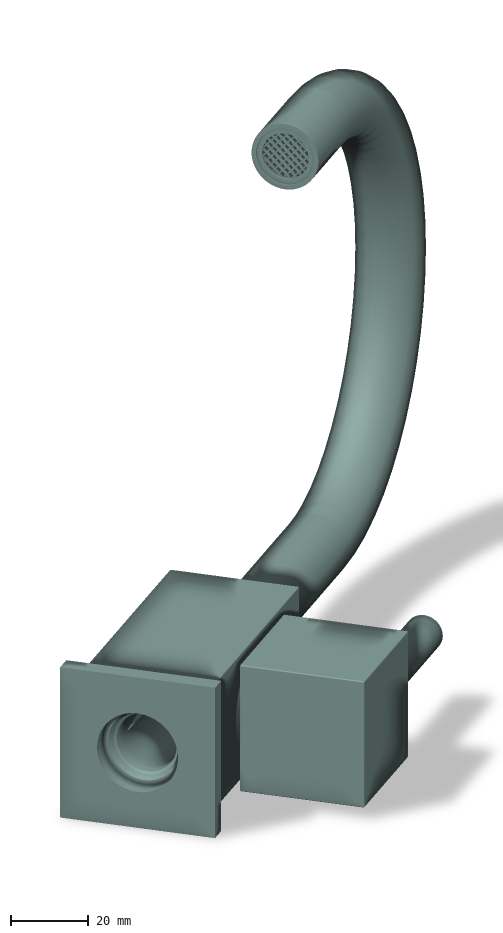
import cadquery as cq
import math

plate_side = 42.0
plate_thickness = 4.9
column_side = 35.0
column_end = 77.3
edge_radius = 0.32

inlet_diameter = 22.0
seat_diameter = 19.5
throat_diameter = 17.7
bore_diameter = 16.3
seat_depth = 5.0
throat_depth = 6.8
bore_start = 7.4
bore_depth = 42.2

pin_diameter = 4.9
pin_length = 29.5
pin_offset = 7.2

dome_radius = 4.6
dome_height = 2.0
dome_y = 67.0

spout_diameter = 18.2
overall_length = 211.0
overall_height = 149.0
outlet_length = 25.0
bend_radius = (overall_height - plate_side / 2 - spout_diameter / 2) / 2
bend_y = overall_length - bend_radius - spout_diameter / 2
outlet_y = bend_y - outlet_length
outlet_z = 2 * bend_radius

ring_diameter = 15.6
ring_recess = 0.5
screen_diameter = 12.7
screen_recess = 1.0
screen_depth = 2.1
screen_pitch = 1.55
screen_hole = 1.16

overall_width = 74.5
knob_side = 35.3
knob_start = 19.8
knob_end = overall_width - plate_side / 2
knob_y = 41.2
collar_diameter = 28.3
handle_diameter = 10.1
handle_x = 44.5
handle_end = 97.7


def rod_along_y(diameter, start, end, x=0.0, z=0.0):
    """Round rod parallel to Y between two Y positions."""
    plane = cq.Plane(origin=(x, start, z), xDir=(1, 0, 0), normal=(0, 1, 0))
    return cq.Workplane(plane).circle(diameter / 2).extrude(end - start)


def square_along_y(side, start, end):
    """Square bar centred on the Y axis between two Y positions."""
    bar = cq.Workplane("XY").box(side, end - start, side)
    return bar.translate((0, (start + end) / 2, 0))


def make_spout():
    path = (
        cq.Workplane("YZ")
        .moveTo(column_end, 0)
        .lineTo(bend_y, 0)
        .threePointArc((bend_y + bend_radius, bend_radius), (bend_y, outlet_z))
        .lineTo(outlet_y, outlet_z)
    )
    plane = cq.Plane(origin=(0, column_end, 0), xDir=(1, 0, 0), normal=(0, 1, 0))
    return cq.Workplane(plane).circle(spout_diameter / 2).sweep(path)


def cut_screen(spout):
    """Recess the outlet and cut a diagonal grid of square holes, trimmed by the screen's rim."""
    screen_face = outlet_y + screen_recess
    ring_step = rod_along_y(ring_diameter, outlet_y, outlet_y + ring_recess, z=outlet_z)
    screen_step = rod_along_y(screen_diameter, outlet_y, screen_face, z=outlet_z)
    rim = rod_along_y(screen_diameter, screen_face, screen_face + screen_depth, z=outlet_z)
    count = 2 * math.ceil(screen_diameter / 2 / screen_pitch) + 1
    plane = cq.Plane(origin=(0, screen_face, outlet_z), xDir=(1, 0, 1), normal=(0, 1, 0))
    holes = (
        cq.Workplane(plane)
        .rarray(screen_pitch, screen_pitch, count, count)
        .rect(screen_hole, screen_hole)
        .extrude(screen_depth)
        .intersect(rim)
    )
    return spout.cut(ring_step).cut(screen_step).cut(holes)


def make_inlet():
    """Stepped inlet bore with a conical lead-in, less the pin left standing in it."""
    profile = (
        cq.Workplane("XY")
        .polyline(
            [
                (0, 0),
                (inlet_diameter / 2, 0),
                (inlet_diameter / 2, seat_depth),
                (seat_diameter / 2, seat_depth),
                (throat_diameter / 2, throat_depth),
                (bore_diameter / 2, bore_start),
                (bore_diameter / 2, bore_depth),
                (0, bore_depth),
            ]
        )
        .close()
    )
    inlet = profile.revolve(360, (0, 0, 0), (0, 1, 0))
    pin = cq.Solid.makeCone(
        pin_diameter / 2,
        0,
        pin_length,
        pnt=cq.Vector(-pin_offset, bore_depth, 0),
        dir=cq.Vector(0, -1, 0),
    )
    return inlet.cut(cq.Workplane(pin))


def make_dome():
    """Ball sunk into the column so that only a spherical cap shows on its underside."""
    ball_radius = (dome_radius**2 + dome_height**2) / (2 * dome_height)
    centre_z = -column_side / 2 - dome_height + ball_radius
    return cq.Workplane("XY").sphere(ball_radius).translate((0, dome_y, centre_z))


def make_faucet():
    base = square_along_y(plate_side, 0, plate_thickness)
    column = square_along_y(column_side, plate_thickness, column_end)
    column = column.edges("|Y").fillet(edge_radius)
    spout = cut_screen(make_spout())
    return base.union(column).union(make_dome()).union(spout).cut(make_inlet())


def make_lever():
    collar_start = column_side / 2
    knob = cq.Workplane("XY").box(knob_end - knob_start, knob_side, knob_side)
    knob = knob.translate(((knob_start + knob_end) / 2, knob_y, 0))
    knob = knob.edges("|X or >X").fillet(edge_radius)
    collar = (
        cq.Workplane("YZ", origin=(collar_start, knob_y, 0))
        .circle(collar_diameter / 2)
        .extrude(knob_start - collar_start)
    )
    handle = rod_along_y(handle_diameter, knob_y + knob_side / 2, handle_end, handle_x)
    return knob.union(collar).union(handle)


faucet = make_faucet()
lever = make_lever()
result = cq.Compound.makeCompound([faucet.val(), lever.val()])